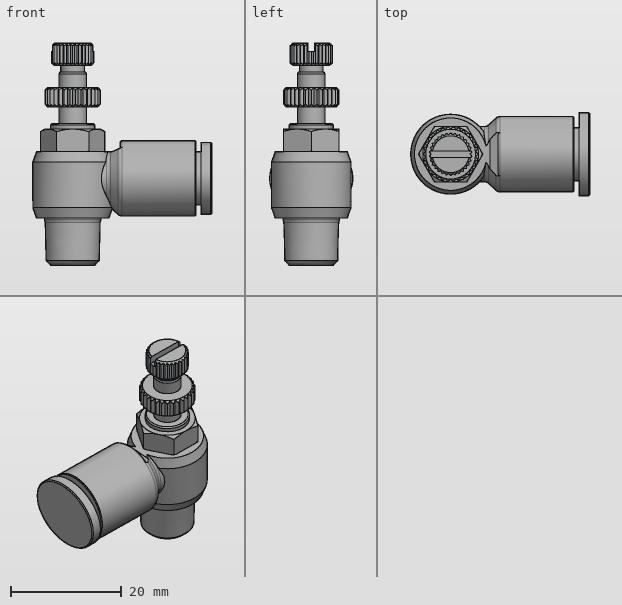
import cadquery as cq
import math


tip_radius = 4.0
tip_crease_radius = 4.2
thread_low_radius = 4.8
thread_high_radius = 4.95
thread_collar_radius = 5.13
tip_crease_height = 0.32
tip_chamfer_height = 0.85
thread_top = 7.7
collar_cone_top = 8.3

body_radius = 7.2
body_end_radius = 6.53
body_bottom = 8.5
body_top = 20.45
body_chamfer_height = 1.9

hex_flats = 10.05
hex_corner_radius = hex_flats / math.sqrt(3)
hex_top = 24.55
hex_chamfer_angle = math.radians(30)
hex_foot_chamfer = 0.12
collar_radius = 4.0
collar_top = 25.5
collar_chamfer = 0.25

stem_radius = 5.0 / 2
stem_tip_radius = 2.32
stem_shoulder = 34.5
stem_top = 34.8
stem_neck_radius = 2.15

tooth_count = 30
half_pitch = math.pi / tooth_count
nut_radius = 5.0
nut_root_radius = 4.53
nut_bottom = 28.5
nut_top = 32.1
nut_chamfer = 0.52
head_radius = 3.85
head_root_radius = 3.52
head_bottom = 36.0
head_top = 40.05
head_chamfer = 0.52
slot_width = 1.12
slot_depth = 1.5

port_height = 15.65
port_neck_radius = 5.0
barrel_radius = 6.8
cone_start = 6.53
cone_length = 1.95
cone_fillet = 1.05
barrel_end = 22.2
barrel_end_chamfer = 0.15

relief_slope_start = 7.05
relief_slope = math.radians(24)
relief_wall = 8.57
relief_clearance = 0.4

ring_neck_radius = 4.8
ring_start = 23.15
ring_end = 25.07
ring_half_width = 15.0 / 2
ring_half_height = 13.0 / 2
ring_chamfer = 0.2


def turned(points):
    """Solid of revolution about Z from (radius, height) points, closed along the axis."""
    outline = [(0, points[0][1])] + points + [(0, points[-1][1])]
    return cq.Workplane("XZ").polyline(outline).close().revolve(360, (0, 0), (0, 1))


def chamfered_disc(radius, bottom, top, chamfer):
    return turned([
        (radius - chamfer, bottom),
        (radius, bottom + chamfer),
        (radius, top - chamfer),
        (radius - chamfer, top),
    ])


def knurled_disc(radius, root_radius, bottom, top, chamfer, first_tooth_angle):
    """Disc with V-shaped teeth and both rims chamfered."""
    outline = []
    for tooth in range(tooth_count):
        tip_angle = first_tooth_angle + 2 * tooth * half_pitch
        root_angle = tip_angle + half_pitch
        outline.append((radius * math.cos(tip_angle), radius * math.sin(tip_angle)))
        outline.append((root_radius * math.cos(root_angle), root_radius * math.sin(root_angle)))
    teeth = cq.Workplane("XY").workplane(offset=bottom).polyline(outline).close().extrude(top - bottom)
    return teeth.intersect(chamfered_disc(radius, bottom, top, chamfer))


def make_body():
    return turned([
        (tip_radius, 0),
        (tip_crease_radius, tip_crease_height),
        (thread_low_radius, tip_chamfer_height),
        (thread_high_radius, thread_top),
        (thread_collar_radius, collar_cone_top),
        (thread_collar_radius, body_bottom),
        (body_end_radius, body_bottom),
        (body_radius, body_bottom + body_chamfer_height),
        (body_radius, body_top - body_chamfer_height),
        (body_end_radius, body_top),
    ])


def make_hexagon():
    """Hexagon with corners on the X axis, its corners turned off conically at both ends."""
    top_radius = hex_flats / 2
    top_drop = (hex_corner_radius - top_radius) * math.tan(hex_chamfer_angle)
    foot_radius = hex_corner_radius - hex_foot_chamfer / math.tan(hex_chamfer_angle)
    prism = (
        cq.Workplane("XY")
        .workplane(offset=body_top)
        .polygon(6, 2 * hex_corner_radius)
        .extrude(hex_top - body_top)
    )
    envelope = turned([
        (foot_radius, body_top),
        (hex_corner_radius, body_top + hex_foot_chamfer),
        (hex_corner_radius, hex_top - top_drop),
        (top_radius, hex_top),
    ])
    return prism.intersect(envelope)


def make_stem():
    return turned([
        (collar_radius, body_top),
        (collar_radius, collar_top - collar_chamfer),
        (collar_radius - collar_chamfer, collar_top),
        (stem_radius, collar_top),
        (stem_radius, stem_shoulder),
        (stem_tip_radius, stem_top),
        (stem_neck_radius, stem_top),
        (stem_neck_radius, head_bottom),
    ])


def make_lock_nut():
    return knurled_disc(nut_radius, nut_root_radius, nut_bottom, nut_top, nut_chamfer, 0)


def make_head():
    head = knurled_disc(head_radius, head_root_radius, head_bottom, head_top, head_chamfer, half_pitch)
    slot = (
        cq.Workplane("XY")
        .workplane(offset=head_top - slot_depth)
        .rect(2 * head_radius, slot_width)
        .extrude(slot_depth)
    )
    return head.cut(slot)


def make_port():
    """Neck, flared cone and barrel turned about the port axis, with the relief cut above."""
    cone_angle = math.atan2(barrel_radius - port_neck_radius, cone_length)
    setback = cone_fillet * math.tan(cone_angle / 2)
    along = setback * math.cos(cone_angle)
    outward = setback * math.sin(cone_angle)
    cone_end = cone_start + cone_length
    port = (
        cq.Workplane("XZ", origin=(0, 0, port_height))
        .lineTo(0, port_neck_radius)
        .lineTo(cone_start - setback, port_neck_radius)
        .radiusArc((cone_start + along, port_neck_radius + outward), -cone_fillet)
        .lineTo(cone_end - along, barrel_radius - outward)
        .radiusArc((cone_end + setback, barrel_radius), cone_fillet)
        .lineTo(barrel_end - barrel_end_chamfer, barrel_radius)
        .lineTo(barrel_end, barrel_radius - barrel_end_chamfer)
        .lineTo(barrel_end, 0)
        .close()
        .revolve(360, (0, 0), (1, 0))
    )

    rim_end = cone_end + setback
    relief_ceiling = port_height + barrel_radius + relief_clearance
    slope_end = body_top + (rim_end - relief_slope_start) * math.tan(relief_slope)
    relief = (
        cq.Workplane("XZ")
        .polyline([
            (0, body_top),
            (relief_slope_start, body_top),
            (rim_end, slope_end),
            (rim_end, relief_ceiling),
            (0, relief_ceiling),
        ])
        .close()
        .extrude(barrel_radius, both=True)
    )
    rounded_barrel = (
        cq.Workplane("YZ", origin=(relief_wall, 0, port_height))
        .circle(barrel_radius)
        .extrude(barrel_end - relief_wall)
        .faces("<X")
        .edges()
        .fillet(rim_end - relief_wall)
    )
    return port.cut(relief.cut(rounded_barrel))


def make_release_ring():
    neck = (
        cq.Workplane("YZ", origin=(barrel_end, 0, port_height))
        .circle(ring_neck_radius)
        .extrude(ring_start - barrel_end)
    )
    ring = (
        cq.Workplane("YZ", origin=(ring_start, 0, port_height))
        .ellipse(ring_half_width, ring_half_height)
        .extrude(ring_end - ring_start)
        .faces(">X")
        .edges()
        .chamfer(ring_chamfer)
    )
    return neck.union(ring)


result = (
    make_body()
    .union(make_port())
    .union(make_release_ring())
    .union(make_hexagon())
    .union(make_stem())
    .union(make_lock_nut())
    .union(make_head())
)